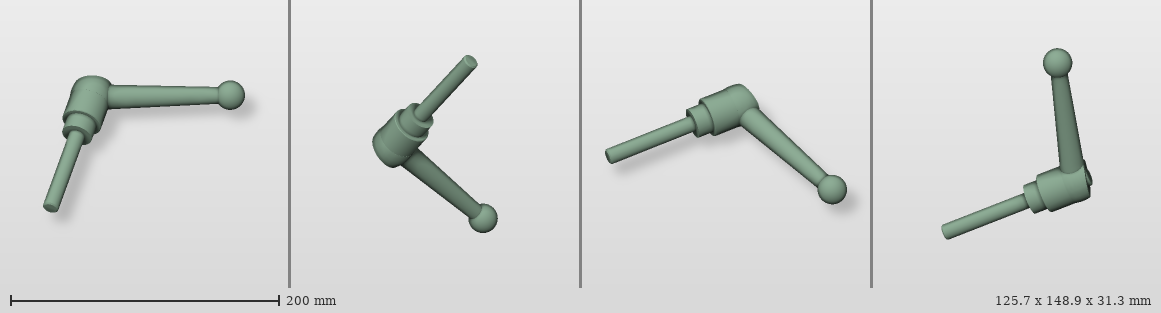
import math

import cadquery as cq


STUD_DIAMETER = 12.0
STUD_LENGTH = 70.0
STUD_CHAMFER = 1.0

COLLAR_DIAMETER = 23.0
COLLAR_HEIGHT = 12.0

HUB_DIAMETER = 30.0
HUB_TOP = 32.0
HUB_CHAMFER = 0.5

HEAD_DIAMETER = 31.28
HEAD_WIDEST = 37.5
HEAD_ARC_RADIUS = 27.0
HEAD_BARREL_TOP = 47.3
HEAD_TOP = 49.5

FACE_ANGLE = 14.0
FACE_HEIGHT_AT_AXIS = 47.0

BUTTON_DIAMETER = 14.0
BUTTON_TOP = 48.9
BUTTON_CHAMFER = 0.8

BALL_DIAMETER = 22.0
BALL_X = 99.02
BALL_Y = 67.9
ARM_ANGLE = 17.55
ARM_LENGTH = 95.0
ARM_ROOT_DIAMETER = 18.8
ARM_TIP_DIAMETER = 12.0


def cylinder(diameter, bottom, top):
    """Cylinder on the Y axis between two heights."""
    profile = cq.Workplane("XZ", origin=(0, bottom, 0)).circle(diameter / 2)
    return profile.extrude(bottom - top)


def make_stud():
    stud = cylinder(STUD_DIAMETER, -STUD_LENGTH, COLLAR_HEIGHT)
    return stud.faces("<Y").chamfer(STUD_CHAMFER)


def make_hub():
    hub = cylinder(HUB_DIAMETER, COLLAR_HEIGHT, HUB_TOP)
    return hub.faces("<Y").chamfer(HUB_CHAMFER)


def arc_depth(height):
    """Distance from the centre of the barrel arc out to the barrel surface, square to the axis."""
    return math.sqrt(HEAD_ARC_RADIUS**2 - (height - HEAD_WIDEST) ** 2)


def barrel_radius(height):
    """Radius of the barrel at a given height."""
    return HEAD_DIAMETER / 2 - HEAD_ARC_RADIUS + arc_depth(height)


def make_head():
    """Barrel that runs on into a tangent cone, cut off by the sloping face."""
    barrel_top_radius = barrel_radius(HEAD_BARREL_TOP)
    cone_slope = (HEAD_BARREL_TOP - HEAD_WIDEST) / arc_depth(HEAD_BARREL_TOP)
    top_radius = barrel_top_radius - cone_slope * (HEAD_TOP - HEAD_BARREL_TOP)
    barrel = (
        cq.Workplane("XY")
        .moveTo(0, HUB_TOP)
        .lineTo(barrel_radius(HUB_TOP), HUB_TOP)
        .threePointArc((HEAD_DIAMETER / 2, HEAD_WIDEST), (barrel_top_radius, HEAD_BARREL_TOP))
        .lineTo(top_radius, HEAD_TOP)
        .lineTo(0, HEAD_TOP)
        .close()
        .revolve(360, (0, 0, 0), (0, 1, 0))
    )
    block = 2 * HEAD_DIAMETER
    cutter = (
        cq.Workplane("XY")
        .box(block, block, block)
        .translate((0, block / 2, 0))
        .rotate((0, 0, 0), (0, 0, 1), FACE_ANGLE)
        .translate((0, FACE_HEIGHT_AT_AXIS, 0))
    )
    return barrel.cut(cutter)


def make_button():
    button = cylinder(BUTTON_DIAMETER, HUB_TOP, BUTTON_TOP)
    return button.faces(">Y").chamfer(BUTTON_CHAMFER)


def make_arm():
    """Cone that narrows to the ball, built along X with the ball at the origin."""
    cone = (
        cq.Workplane("XY")
        .lineTo(0, ARM_TIP_DIAMETER / 2)
        .lineTo(-ARM_LENGTH, ARM_ROOT_DIAMETER / 2)
        .lineTo(-ARM_LENGTH, 0)
        .close()
        .revolve(360, (0, 0, 0), (1, 0, 0))
    )
    ball_radius = BALL_DIAMETER / 2
    ball = (
        cq.Workplane("XY")
        .moveTo(-ball_radius, 0)
        .threePointArc((0, ball_radius), (ball_radius, 0))
        .close()
        .revolve(360, (0, 0, 0), (1, 0, 0))
    )
    arm = cone.union(ball)
    return arm.rotate((0, 0, 0), (0, 0, 1), ARM_ANGLE).translate((BALL_X, BALL_Y, 0))


collar = cylinder(COLLAR_DIAMETER, 0, COLLAR_HEIGHT)
result = make_hub().union(collar).union(make_stud()).union(make_head())
result = result.union(make_button()).union(make_arm())